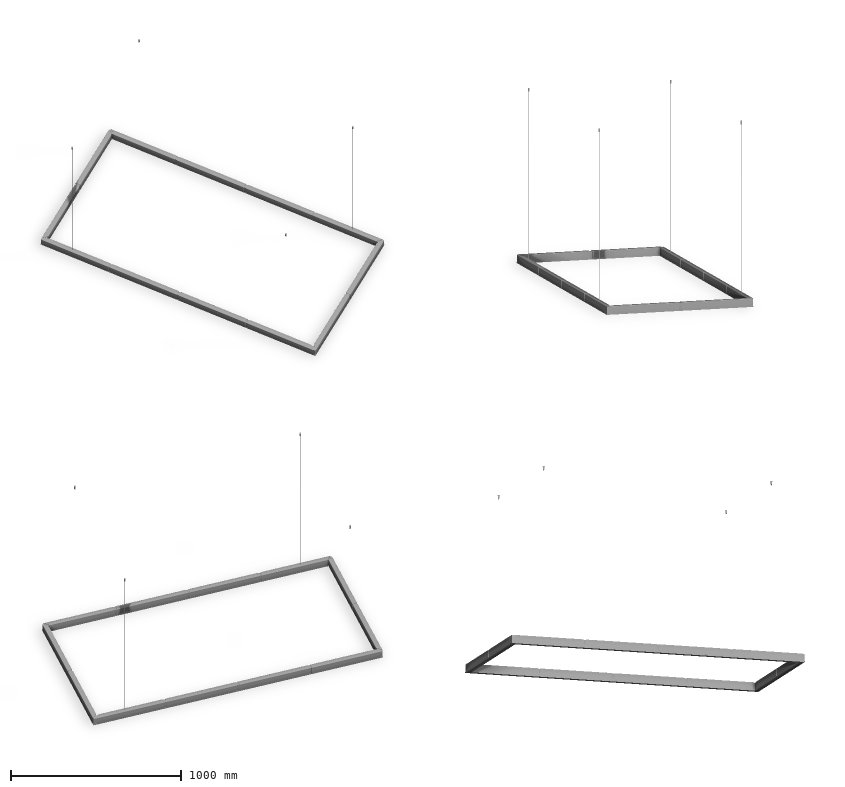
import cadquery as cq


ring_length = 1800.0
ring_width = 900.0
ring_height = 50.0
bar_width = 30.0
diffuser_height = 5.0
corner_radius = 1.0
top_edge_radius = 2.0

module_length = 900.0
band_width = 14.0
band_depth = 2.6

total_height = 1073.0
cable_spacing = 1400.0
cable_diameter = 1.2
clip_width = 11.0
clip_height = 4.0
cap_diameter = 11.0
cap_height = 1.0
gripper_diameter = 9.0
gripper_height = 19.0
nozzle_diameter = 4.0
nozzle_height = 5.0

bar_x = (ring_length - bar_width) / 2
bar_y = (ring_width - bar_width) / 2
gripper_bottom = total_height - cap_height - gripper_height - nozzle_height
clip_bottom = ring_height - clip_height
cable_places = [
    (side_x * cable_spacing / 2, side_y * bar_y) for side_x in (-1, 1) for side_y in (-1, 1)
]


def upright_block(length, width, bottom, top):
    block = cq.Workplane("XY").workplane(offset=bottom)
    return block.box(length, width, top - bottom, centered=(True, True, False))


def make_ring():
    """Full ring, with its upright corners and top edges rounded."""
    outer = upright_block(ring_length, ring_width, 0, ring_height)
    outer = outer.edges("|Z").fillet(corner_radius)
    opening_length = ring_length - 2 * bar_width
    opening_width = ring_width - 2 * bar_width
    ring = outer.cut(upright_block(opening_length, opening_width, 0, ring_height))
    return ring.faces(">Z").edges().fillet(top_edge_radius)


def band_places():
    """Centre and turn about Z of each band: (x, y, angle)."""
    half_module = module_length / 2
    places = []
    for side in (-1, 1):
        for x in (-half_module, 0, half_module):
            places.append((x, side * bar_y, 0))
        places.append((side * bar_x, 0, 90))
        for end in (-1, 1):
            places.append((side * bar_x, end * bar_y, -45 * side * end))
    return places


def cut_bands(housing):
    """Sink each band by the same depth into the top and both sides of the bar."""
    core_top = ring_height - band_depth
    core = upright_block(ring_length - 2 * band_depth, ring_width - 2 * band_depth, diffuser_height, core_top)
    core_opening = upright_block(
        ring_length - 2 * (bar_width - band_depth),
        ring_width - 2 * (bar_width - band_depth),
        diffuser_height,
        core_top,
    )
    core = core.cut(core_opening)
    band_reach = 3 * bar_width
    for x, y, angle in band_places():
        band = upright_block(band_width, band_reach, diffuser_height, ring_height)
        band = band.rotate((0, 0, 0), (0, 0, 1), angle).translate((x, y, 0))
        housing = housing.cut(band.cut(core))
    return housing


def make_clip_space(x, y):
    """Slot across the top of the bar at one cable."""
    return upright_block(clip_width, bar_width, clip_bottom, ring_height).translate((x, y, 0))


def make_cable(x, y, clip):
    """Cable with the clip that holds it in the housing."""
    cable = cq.Workplane("XY").workplane(offset=clip_bottom).center(x, y)
    cable = cable.circle(cable_diameter / 2).extrude(gripper_bottom - clip_bottom)
    return clip.union(cable)


def make_gripper(x, y):
    """Ceiling gripper: nozzle, barrel and cap, stacked upwards."""
    gripper = cq.Workplane("XY").workplane(offset=gripper_bottom).center(x, y)
    gripper = gripper.circle(nozzle_diameter / 2).extrude(nozzle_height)
    gripper = gripper.faces(">Z").workplane().circle(gripper_diameter / 2).extrude(gripper_height)
    return gripper.faces(">Z").workplane().circle(cap_diameter / 2).extrude(cap_height)


ring = make_ring()
diffuser_layer = upright_block(ring_length, ring_width, 0, diffuser_height)
diffuser = ring.intersect(diffuser_layer)
housing = cut_bands(ring.cut(diffuser_layer))

cables = []
grippers = []
for x, y in cable_places:
    clip_space = make_clip_space(x, y)
    clip = housing.intersect(clip_space)
    housing = housing.cut(clip_space)
    cables.append(make_cable(x, y, clip))
    grippers.append(make_gripper(x, y))

bodies = [housing, diffuser] + cables + grippers
result = cq.Compound.makeCompound([body.solids().val() for body in bodies])